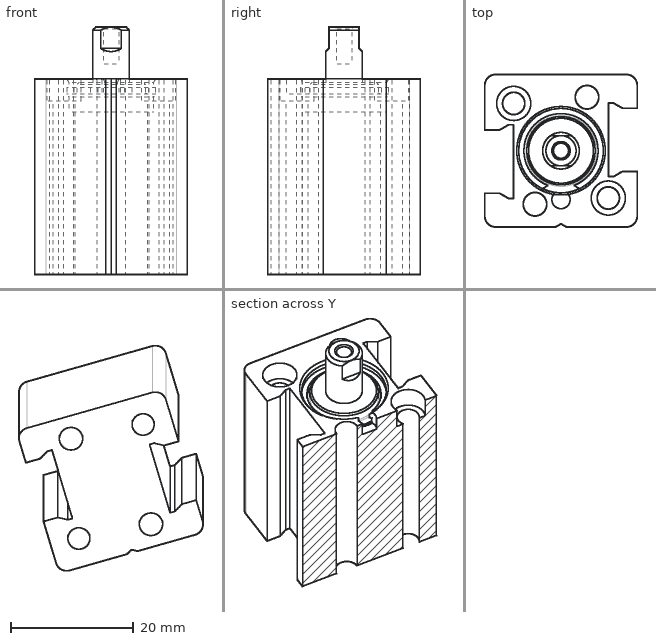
import cadquery as cq
import math

TAN_30 = math.tan(math.radians(30))

body_width = 25.0
body_height = 32.0
corner_radius = 1.82

slot_offset = 1.8
slot_depth = 4.7
slot_lip_depth = 2.45
slot_mouth_half = 5.15
slot_inner_half = 6.0
slot_slope_length = (slot_inner_half - slot_mouth_half) / TAN_30

mark_half_width = 0.9
mark_depth = mark_half_width * TAN_30

bolt_place = 7.75
bolt_diameter = 3.6
bolt_head_diameter = 5.6
bolt_head_depth = 3.55
through_diameter = 3.8
through_x = 4.25
through_y = 8.75

bore_radius = 6.93
groove_radius = 7.25
lead_in_depth = (groove_radius - bore_radius) / TAN_30
ring_top = body_height - 1.35
ring_thickness = 1.05
flange_top = ring_top - ring_thickness
flange_thickness = 3.0
bore_bottom = flange_top - flange_thickness

notch_diameter = 3.0
notch_y = -7.98

ring_inner_radius = 6.08
gap_apex_y = -4.45

flange_radius = 6.9
rod_diameter = 6.0
rod_top = 40.5
rod_chamfer = 0.53
collar_top = body_height - 0.55
collar_radius = 5.6
collar_chamfer = 0.3
collar_foot_fillet = 0.2
flats_width = 5.0
flats_length = 3.52
flat_step = (rod_diameter - flats_width) / 2
thread_diameter = 2.47
thread_depth = 6.0
thread_mouth_chamfer = 0.265


def side_slot():
    """Slot on the +X side, wider inside than at its mouth."""
    face_x = body_width / 2
    lip_x = face_x - slot_lip_depth
    slope_x = lip_x - slot_slope_length
    floor_x = face_x - slot_depth
    return (
        cq.Workplane("XY")
        .moveTo(face_x, slot_offset - slot_mouth_half)
        .lineTo(lip_x, slot_offset - slot_mouth_half)
        .lineTo(slope_x, slot_offset - slot_inner_half)
        .lineTo(floor_x, slot_offset - slot_inner_half)
        .lineTo(floor_x, slot_offset + slot_inner_half)
        .lineTo(slope_x, slot_offset + slot_inner_half)
        .lineTo(lip_x, slot_offset + slot_mouth_half)
        .lineTo(face_x, slot_offset + slot_mouth_half)
        .close()
        .extrude(body_height)
    )


def marking_groove():
    face_y = -body_width / 2
    return (
        cq.Workplane("XY")
        .moveTo(-mark_half_width, face_y)
        .lineTo(0, face_y + mark_depth)
        .lineTo(mark_half_width, face_y)
        .close()
        .extrude(body_height)
    )


def bore_cavity():
    """Stepped bore: lead-in cone, bore, ring groove, second lead-in cone, cover seat."""
    return (
        cq.Workplane("XZ")
        .moveTo(0, bore_bottom)
        .lineTo(bore_radius, bore_bottom)
        .lineTo(bore_radius, flange_top - lead_in_depth)
        .lineTo(groove_radius, flange_top)
        .lineTo(groove_radius, ring_top)
        .lineTo(bore_radius, ring_top)
        .lineTo(bore_radius, body_height - lead_in_depth)
        .lineTo(groove_radius, body_height)
        .lineTo(0, body_height)
        .close()
        .revolve(360, (0, 0, 0), (0, 1, 0))
    )


def make_housing():
    block = (
        cq.Workplane("XY")
        .rect(body_width, body_width)
        .extrude(body_height)
        .edges("|Z")
        .fillet(corner_radius)
    )
    for turn in (0, 180):
        block = block.cut(side_slot().rotate((0, 0, 0), (0, 0, 1), turn))
    block = block.cut(marking_groove())
    block = (
        block.faces(">Z").workplane(origin=(0, 0, body_height))
        .pushPoints([(-bolt_place, bolt_place), (bolt_place, -bolt_place)])
        .cboreHole(bolt_diameter, bolt_head_diameter, bolt_head_depth)
    )
    block = (
        block.faces(">Z").workplane(origin=(0, 0, body_height))
        .pushPoints([(through_x, through_y), (-through_x, -through_y)])
        .hole(through_diameter)
    )
    notch = (
        cq.Workplane("XY", origin=(0, notch_y, flange_top))
        .circle(notch_diameter / 2)
        .extrude(body_height - flange_top)
    )
    return block.cut(bore_cavity()).cut(notch)


def make_retaining_ring():
    """Open ring that fills the groove, with a wedge-shaped gap on the -Y side."""
    ring = (
        cq.Workplane("XY", origin=(0, 0, flange_top))
        .circle(groove_radius)
        .circle(ring_inner_radius)
        .extrude(ring_thickness)
    )
    wedge_length = body_width / 2 + gap_apex_y
    wedge_half_width = wedge_length / TAN_30
    gap = (
        cq.Workplane("XY", origin=(0, gap_apex_y, flange_top))
        .lineTo(-wedge_half_width, -wedge_length)
        .lineTo(wedge_half_width, -wedge_length)
        .close()
        .extrude(ring_thickness)
    )
    return ring.cut(gap)


def rod_flat():
    """Cutter for the +Y wrench flat, ending in a 45 degree slope."""
    flat_y = flats_width / 2
    flat_bottom = rod_top - flats_length
    return (
        cq.Workplane("YZ", origin=(-rod_diameter / 2, 0, 0))
        .moveTo(flat_y, rod_top)
        .lineTo(flat_y, flat_bottom)
        .lineTo(flat_y + flat_step, flat_bottom - flat_step)
        .lineTo(flat_y + flat_step, rod_top)
        .close()
        .extrude(rod_diameter)
    )


def make_rod():
    """Rod, collar and cover flange as one turned piece."""
    rod_radius = rod_diameter / 2
    thread_radius = thread_diameter / 2
    rod = (
        cq.Workplane("XZ")
        .moveTo(0, bore_bottom)
        .lineTo(flange_radius, bore_bottom)
        .lineTo(flange_radius, flange_top)
        .lineTo(collar_radius + collar_foot_fillet, flange_top)
        .radiusArc((collar_radius, flange_top + collar_foot_fillet), collar_foot_fillet)
        .lineTo(collar_radius, collar_top - collar_chamfer)
        .lineTo(collar_radius - collar_chamfer, collar_top)
        .lineTo(rod_radius, collar_top)
        .lineTo(rod_radius, rod_top - rod_chamfer)
        .lineTo(rod_radius - rod_chamfer, rod_top)
        .lineTo(thread_radius + thread_mouth_chamfer, rod_top)
        .lineTo(thread_radius, rod_top - thread_mouth_chamfer)
        .lineTo(thread_radius, rod_top - thread_depth)
        .lineTo(0, rod_top - thread_depth)
        .close()
        .revolve(360, (0, 0, 0), (0, 1, 0))
    )
    for turn in (0, 180):
        rod = rod.cut(rod_flat().rotate((0, 0, 0), (0, 0, 1), turn))
    return rod


housing = make_housing()
retaining_ring = make_retaining_ring()
rod = make_rod()

result = cq.Compound.makeCompound([housing.val(), retaining_ring.val(), rod.val()])